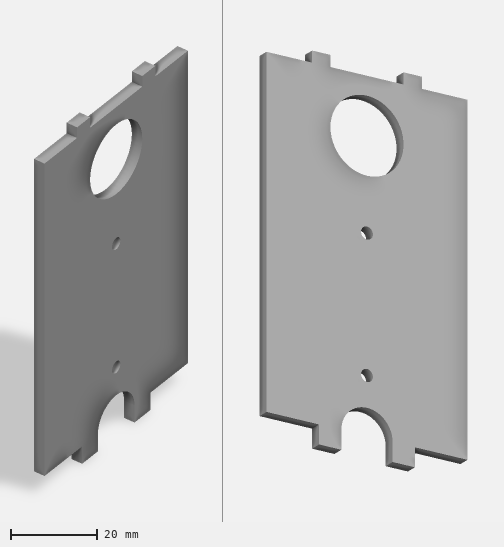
import cadquery as cq

thickness = 3.0
width = 55.0
height = 98.0
leg_height = 5.0
tab_height = 3.0
body_height = height - leg_height - tab_height
body_top = leg_height + body_height

tab_width = 5.0
tab_gap = 20.0
leg_width = 6.1
arch_diameter = 14.0

window_diameter = 20.0
window_height = 80.0
pin_diameter = 3.2
pin_heights = (20.1, 55.7)


def block(block_width, block_height, y_center, z_bottom):
    """Full-thickness block standing on z_bottom."""
    return (
        cq.Workplane("XY")
        .box(thickness, block_width, block_height, centered=(True, True, False))
        .translate((0, y_center, z_bottom))
    )


def hole(diameter, z_center):
    """Cylinder through the thickness on the centre line."""
    return (
        cq.Workplane("YZ", origin=(-thickness / 2, 0, 0))
        .center(0, z_center)
        .circle(diameter / 2)
        .extrude(thickness)
    )


plate = block(width, body_height, 0, leg_height)

tab_offset = (tab_gap + tab_width) / 2
leg_offset = (arch_diameter + leg_width) / 2
for side in (-1, 1):
    plate = plate.union(block(tab_width, tab_height, side * tab_offset, body_top))
    plate = plate.union(block(leg_width, leg_height, side * leg_offset, 0))

plate = plate.cut(hole(arch_diameter, leg_height))

plate = plate.cut(hole(window_diameter, window_height))
for pin_height in pin_heights:
    plate = plate.cut(hole(pin_diameter, pin_height))

result = plate.translate((0, 0, -height / 2))